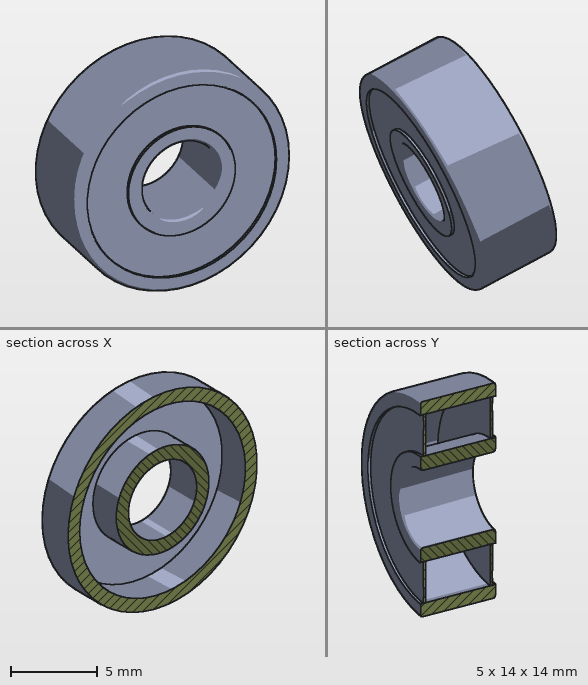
import cadquery as cq


outer_diameter = 14.0
bore_diameter = 5.0
width = 5.0
edge_radius = 0.2

shield_outer_radius = 6.1
shield_inner_radius = 3.45
crease_radius = 5.45
disc_radius = 4.77
shield_recess = 0.18
crease_depth = 0.03
shield_thickness = 0.2

half_width = width / 2
shield_face = half_width - shield_recess
shield_back = shield_face - shield_thickness


def ring(outer_radius, inner_radius):
    """Plain ring about X, as wide as the bearing."""
    return (
        cq.Workplane("YZ")
        .workplane(offset=-half_width)
        .circle(outer_radius)
        .circle(inner_radius)
        .extrude(width)
    )


def outer_ring():
    """Outer race with both outer rims rounded."""
    body = ring(outer_diameter / 2, shield_outer_radius)
    rims = cq.selectors.RadiusNthSelector(-1)
    return body.edges("%CIRCLE").edges(rims).fillet(edge_radius)


def inner_ring():
    """Inner race with both bore mouths rounded."""
    body = ring(shield_inner_radius, bore_diameter / 2)
    bore_mouths = cq.selectors.RadiusNthSelector(0)
    return body.edges("%CIRCLE").edges(bore_mouths).fillet(edge_radius)


def shield(side):
    """Annular cover plate with a shallow V-shaped crease; side is -1 or +1 along X."""
    profile = [
        (side * shield_back, shield_inner_radius),
        (side * shield_face, shield_inner_radius),
        (side * shield_face, disc_radius),
        (side * (shield_face - crease_depth), crease_radius),
        (side * shield_face, shield_outer_radius),
        (side * shield_back, shield_outer_radius),
    ]
    return cq.Workplane("XY").polyline(profile).close().revolve(360, (0, 0, 0), (1, 0, 0))


shields = [shield(side) for side in (-1, 1)]

result = cq.Compound.makeCompound(
    [
        outer_ring().val(),
        inner_ring().val(),
        *[cover.val() for cover in shields],
    ]
)